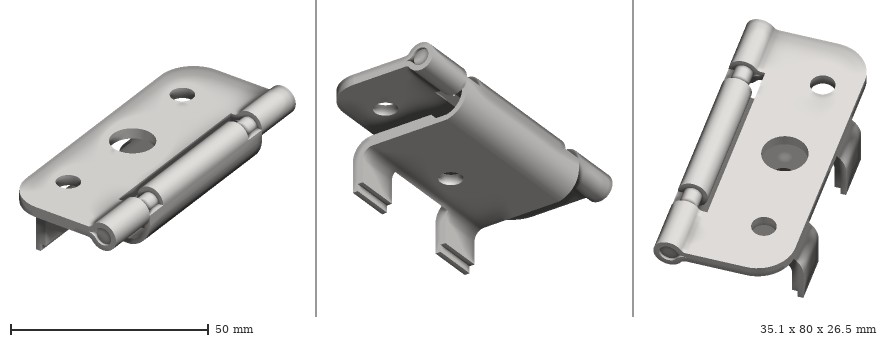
import cadquery as cq
import math

length = 80.0
sheet = 1.5
plate_thickness = 2 * sheet
pin_diameter = 5.0
pin_radius = pin_diameter / 2
knuckle_radius = pin_radius + sheet
pin_recess = 0.8

leaf_edge_x = -30.6
leaf_corner_radius = 10.0
leaf_blend_radius = 1.6
notch_edge_x = -5.7
screw_hole_diameter = 6.5
screw_hole_x = -20.8
screw_hole_y = 25.4
access_hole_diameter = 12.0
access_hole_x = -18.6

clip_width = 49.9
curl_width = 37.9
clip_edge_x = -31.1
clip_bottom_z = -22.5
clip_top_z = -7.5
clip_under_z = clip_top_z - plate_thickness
bend_inner_radius = 3.0
bend_outer_radius = bend_inner_radius + plate_thickness
lip_height = 2.1
tab_gap = 23.8
tab_gap_depth = 4.0
clip_hole_x = -18.2
wrap_radius = 7.7
wrap_center_z = -3.0
tail_end_x = -7.0
tail_bend_radius = 2.2


def on_circle(radius, angle, center=(0, 0)):
    """Point on a circle at an angle in degrees."""
    turn = math.radians(angle)
    return (center[0] + radius * math.cos(turn), center[1] + radius * math.sin(turn))


def extrude_along_y(profile, width):
    """Extrude an XZ profile symmetrically about Y = 0."""
    return profile.extrude(width / 2, both=True)


def box(x_min, x_max, y_min, y_max, z_min, z_max):
    size = (x_max - x_min, y_max - y_min, z_max - z_min)
    return cq.Workplane().box(*size, centered=False).translate((x_min, y_min, z_min))


def vertical_hole(x, y, diameter, z_min, z_max):
    return cq.Workplane(origin=(x, y, z_min)).circle(diameter / 2).extrude(z_max - z_min)


def flared_round(radius, flare_x, flare_z, half_height):
    """Circle joined by two concave tangent arcs to a neck on its -X side.

    flare_x and flare_z locate the centre of the upper concave arc.
    """
    flare_radius = flare_z - half_height
    angle = math.degrees(math.atan2(flare_z, flare_x))
    tangent_x, tangent_z = on_circle(radius, angle)
    middle = on_circle(flare_radius, (angle - 180 - 90) / 2, (flare_x, flare_z))
    profile = (
        cq.Workplane("XZ")
        .moveTo(flare_x, half_height)
        .threePointArc(middle, (tangent_x, tangent_z))
        .threePointArc((radius, 0), (tangent_x, -tangent_z))
        .threePointArc((middle[0], -middle[1]), (flare_x, -half_height))
    )
    return profile.close() if half_height > 0 else profile.wire()


def make_leaf():
    half_plate = plate_thickness / 2
    flare_z = half_plate + leaf_blend_radius
    flare_x = -math.sqrt((knuckle_radius + leaf_blend_radius) ** 2 - flare_z ** 2)

    leaf = box(leaf_edge_x, flare_x, -length / 2, length / 2, -half_plate, half_plate)
    leaf = leaf.edges("|Z and <X").fillet(leaf_corner_radius)
    knuckle = flared_round(knuckle_radius, flare_x, flare_z, half_plate)
    leaf = leaf.union(extrude_along_y(knuckle, length))

    bore = flared_round(pin_radius, flare_x, flare_z, 0)
    leaf = leaf.cut(extrude_along_y(bore, length))

    leaf = leaf.cut(box(notch_edge_x, knuckle_radius, -clip_width / 2, clip_width / 2,
                        -knuckle_radius, knuckle_radius))

    leaf = leaf.cut(vertical_hole(access_hole_x, 0, access_hole_diameter, -half_plate, half_plate))
    for y in (-screw_hole_y, screw_hole_y):
        leaf = leaf.cut(vertical_hole(screw_hole_x, y, screw_hole_diameter, -half_plate, half_plate))
    return leaf


def make_clip_base():
    """Tabs, plate and the wrap that rises toward the knuckle."""
    bend_center = (clip_edge_x + bend_outer_radius, clip_top_z - bend_outer_radius)
    tab_inner_x = clip_edge_x + plate_thickness
    step_z = clip_bottom_z + lip_height
    layer_z = clip_top_z - sheet

    wrap_center = (knuckle_radius - wrap_radius, wrap_center_z)
    wrap_inner_radius = wrap_radius - sheet
    outer_angle = math.degrees(math.asin((clip_under_z - wrap_center_z) / wrap_radius))
    inner_angle = math.degrees(math.asin((layer_z - wrap_center_z) / wrap_inner_radius))

    profile = (
        cq.Workplane("XZ")
        .moveTo(clip_edge_x, clip_bottom_z)
        .lineTo(clip_edge_x, bend_center[1])
        .threePointArc(on_circle(bend_outer_radius, 135, bend_center), (bend_center[0], clip_top_z))
        .lineTo(tail_end_x, clip_top_z)
        .lineTo(tail_end_x, layer_z)
        .lineTo(*on_circle(wrap_inner_radius, inner_angle, wrap_center))
        .threePointArc(on_circle(wrap_inner_radius, inner_angle / 2, wrap_center),
                       (pin_radius, wrap_center_z))
        .lineTo(pin_radius, 0)
        .lineTo(knuckle_radius, 0)
        .lineTo(knuckle_radius, wrap_center_z)
        .threePointArc(on_circle(wrap_radius, outer_angle / 2, wrap_center),
                       on_circle(wrap_radius, outer_angle, wrap_center))
        .lineTo(bend_center[0], clip_under_z)
        .threePointArc(on_circle(bend_inner_radius, 135, bend_center), (tab_inner_x, bend_center[1]))
        .lineTo(tab_inner_x, step_z)
        .lineTo(clip_edge_x + sheet, step_z)
        .lineTo(clip_edge_x + sheet, clip_bottom_z)
        .close()
    )
    base = extrude_along_y(profile, clip_width)
    base = base.cut(box(clip_edge_x, clip_edge_x + tab_gap_depth, -tab_gap / 2, tab_gap / 2,
                        clip_bottom_z, clip_top_z))
    return base.cut(vertical_hole(clip_hole_x, 0, screw_hole_diameter, clip_under_z, clip_top_z))


def make_clip_curl():
    """Sheet that continues from the wrap, rolls over the pin and returns onto the plate."""
    layer_z = clip_top_z - sheet

    tail_z = clip_top_z + tail_bend_radius
    tail_x = -math.sqrt((knuckle_radius + tail_bend_radius) ** 2 - tail_z ** 2)
    tail_center = (tail_x, tail_z)
    tail_outer_radius = tail_bend_radius + sheet
    tail_angle = math.degrees(math.atan2(-tail_z, -tail_x))
    middle_angle = (tail_angle - 90) / 2
    roll_end_angle = tail_angle + 180
    roll_middle_angle = roll_end_angle / 2

    profile = (
        cq.Workplane("XZ")
        .moveTo(knuckle_radius, 0)
        .threePointArc(on_circle(knuckle_radius, roll_middle_angle),
                       on_circle(knuckle_radius, roll_end_angle))
        .threePointArc(on_circle(tail_bend_radius, middle_angle, tail_center), (tail_x, clip_top_z))
        .lineTo(tail_end_x, clip_top_z)
        .lineTo(tail_end_x, layer_z)
        .lineTo(tail_x, layer_z)
        .threePointArc(on_circle(tail_outer_radius, middle_angle, tail_center),
                       on_circle(pin_radius, roll_end_angle))
        .threePointArc(on_circle(pin_radius, roll_middle_angle), (pin_radius, 0))
        .close()
    )
    return extrude_along_y(profile, curl_width)


def make_pin():
    return extrude_along_y(cq.Workplane("XZ").circle(pin_radius), length - 2 * pin_recess)


leaf = make_leaf()
clip = make_clip_base().union(make_clip_curl())
pin = make_pin()

result = cq.Compound.makeCompound([leaf.solids().val(), clip.solids().val(), pin.solids().val()])